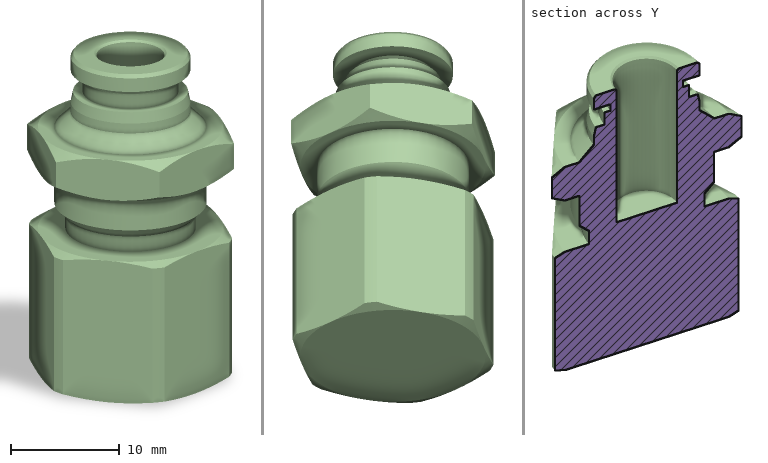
import cadquery as cq
import math

across_flats = 17.0
flat_radius = across_flats / 2
corner_radius = flat_radius / math.cos(math.radians(30))

base_height = 14.0
base_turned_radius = 9.5
base_bevel_angle = 20

nut_bottom = 20.0
nut_top = 24.0
nut_bevel_angle = 30

neck_radius = 6.0
body_radius = 7.0
body_bottom = 16.5
neck_top = body_bottom - (body_radius - neck_radius)

ring_radius = 5.5
ring_top_radius = 5.28
ring_bottom = nut_top + (body_radius - ring_radius)
ring_taper_start = 26.47
ring_top = 27.5

collar_radius = 4.4
collar_top = 28.9
stem_radius = 3.78
head_radius = 5.5
head_bottom = 29.6
head_top = 31.25
head_chamfer_width = 0.25
head_chamfer_height = 0.3

bore_radius = 3.12
bore_chamfer = 0.2
bore_floor = neck_top


def revolve_profile(points):
    """Turn a closed (radius, height) outline around the Z axis."""
    return cq.Workplane("XZ").polyline(points).close().revolve(360, (0, 0, 0), (0, 1, 0))


def bevelled_hexagon(bottom, top, outer_radius, bevel_angle):
    """Hexagonal prism with corners along X, cut to a blank with conical ends."""
    prism = cq.Workplane("XY").workplane(offset=bottom).polygon(6, 2 * corner_radius).extrude(top - bottom)
    drop = (outer_radius - flat_radius) * math.tan(math.radians(bevel_angle))
    blank = revolve_profile([
        (0, bottom),
        (flat_radius, bottom),
        (outer_radius, bottom + drop),
        (outer_radius, top - drop),
        (flat_radius, top),
        (0, top),
    ])
    return prism.intersect(blank)


def turned_body():
    """Stepped round body from the base up to the top of the collet head."""
    return revolve_profile([
        (0, 0),
        (neck_radius, 0),
        (neck_radius, neck_top),
        (body_radius, body_bottom),
        (body_radius, nut_top),
        (ring_radius, ring_bottom),
        (ring_radius, ring_taper_start),
        (ring_top_radius, ring_top),
        (collar_radius, ring_top),
        (collar_radius, collar_top),
        (stem_radius, collar_top),
        (stem_radius, head_bottom),
        (head_radius, head_bottom),
        (head_radius, head_top - head_chamfer_height),
        (head_radius - head_chamfer_width, head_top),
        (0, head_top),
    ])


def tube_bore():
    """Blind bore with a chamfered mouth."""
    return revolve_profile([
        (0, bore_floor),
        (bore_radius, bore_floor),
        (bore_radius, head_top - bore_chamfer),
        (bore_radius + bore_chamfer, head_top),
        (0, head_top),
    ])


base = bevelled_hexagon(0, base_height, base_turned_radius, base_bevel_angle)
nut = bevelled_hexagon(nut_bottom, nut_top, corner_radius, nut_bevel_angle)
result = turned_body().union(base).union(nut).cut(tube_bore())